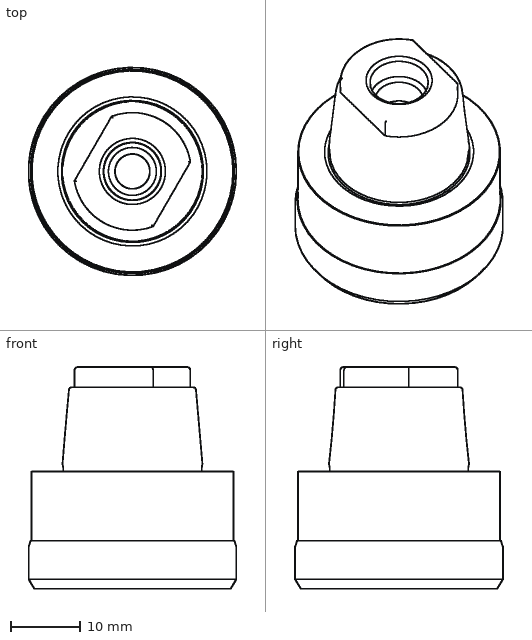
import cadquery as cq
import math

total_height = 31.95
bottom_chamfer_top = 1.4
collar_edge = 6.05
collar_top = 6.93
body_top = 16.93
neck_foot = 17.45
neck_widest = 18.02
neck_top = 29.05

bottom_radius = 14.15
collar_radius = 15.0
collar_top_radius = 14.7
body_radius = 14.57
body_edge_chamfer = 0.1
neck_foot_radius = 10.0
neck_widest_radius = 10.1
neck_top_radius = 9.15
neck_edge_fillet = 0.45

recess_radius = 10.75
recess_depth = 0.22
neck_foot_flare = 0.22

boss_radius = 8.47
boss_flat_distance = 6.55
boss_edge_fillet = 0.48
flat_angle = 60.0

mouth_radius = 4.75
mouth_chamfer_radius = 4.2
mouth_chamfer_depth = 0.45
upper_bore_radius = 4.12
upper_bore_start_depth = 0.83
upper_bore_depth = 3.58
step_depth = 4.05
lower_bore_radius = 3.45
lower_bore_depth = 8.0
through_radius = 2.5
drill_tip_angle = 118.0
drill_tip_slope = math.tan(math.radians(drill_tip_angle / 2))
drill_tip_height = (lower_bore_radius - through_radius) / drill_tip_slope


def revolve(profile):
    """Turn a closed list of (radius, height) points about the Z axis."""
    return cq.Workplane("XZ").polyline(profile).close().revolve(360, (0, 0), (0, 1))


def make_body():
    return revolve([
        (0, 0),
        (bottom_radius, 0),
        (collar_radius, bottom_chamfer_top),
        (collar_radius, collar_edge),
        (collar_top_radius, collar_top),
        (body_radius, collar_top),
        (body_radius, body_top - body_edge_chamfer),
        (body_radius - body_edge_chamfer, body_top),
        (recess_radius, body_top),
        (neck_foot_radius + neck_foot_flare, body_top - recess_depth),
        (0, body_top - recess_depth),
    ])


def make_neck():
    neck_base = body_top - recess_depth
    neck = revolve([
        (0, neck_base),
        (neck_foot_radius + neck_foot_flare, neck_base),
        (neck_foot_radius, neck_base + neck_foot_flare),
        (neck_foot_radius, neck_foot),
        (neck_widest_radius, neck_widest),
        (neck_top_radius, neck_top),
        (0, neck_top),
    ])
    return neck.faces(">Z").edges().fillet(neck_edge_fillet)


def make_boss():
    boss_height = total_height - neck_top
    slab = cq.Workplane("XY").box(
        2 * boss_radius, 2 * boss_flat_distance, boss_height, centered=(True, True, False)
    )
    boss = cq.Workplane("XY").circle(boss_radius).extrude(boss_height).intersect(slab)
    boss = boss.faces(">Z").edges().fillet(boss_edge_fillet)
    return boss.rotate((0, 0, 0), (0, 0, 1), flat_angle).translate((0, 0, neck_top))


def make_bore():
    lower_bore_floor = total_height - lower_bore_depth
    return revolve([
        (0, 0),
        (through_radius, 0),
        (through_radius, lower_bore_floor - drill_tip_height),
        (lower_bore_radius, lower_bore_floor),
        (lower_bore_radius, total_height - step_depth),
        (upper_bore_radius, total_height - upper_bore_depth),
        (upper_bore_radius, total_height - upper_bore_start_depth),
        (mouth_chamfer_radius, total_height - mouth_chamfer_depth),
        (mouth_radius, total_height),
        (0, total_height),
    ])


result = make_body().union(make_neck()).union(make_boss()).cut(make_bore())